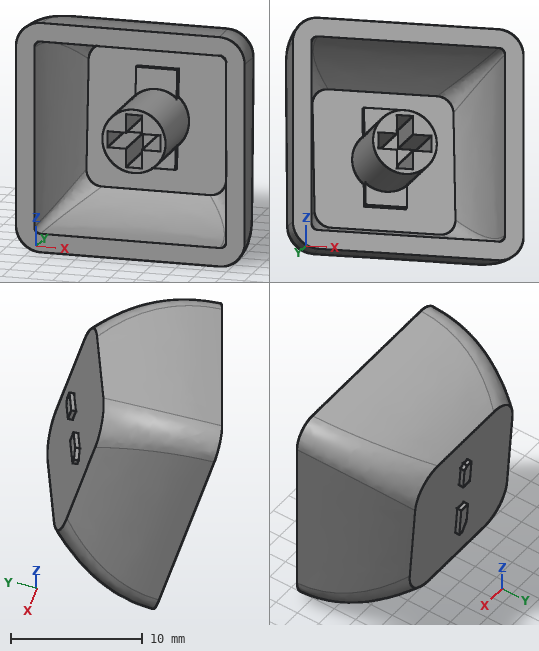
import cadquery as cq
import math

base_width = 18.1
base_corner = 2.0
top_width = 12.65
top_corner = 2.7
top_height = 8.85
top_tilt = 4.0

rim_width = 1.47
roof_thickness = 1.5
cavity_corner = 0.5
ceiling_width = 11.05
ceiling_corner = 1.25

stem_diameter = 5.0
stem_recess = 1.0
cross_length = 4.17
cross_arm = 1.26
cross_depth = 4.6

plate_width = 3.25
plate_length = 7.75
plate_up = 0.2
plate_thickness = 0.5
mark_projection = 0.37
mark_left = -0.47
mark_right = 0.40
upper_mark_top = 3.80
upper_mark_bottom = 1.68
flag_drop = 0.3
flag_width = 0.33
lower_mark_top = -0.90
lower_mark_bottom = -3.56
lower_mark_bend = -2.70
lower_mark_taper = 0.5

middle_share = 1 / 4

roof_height = roof_thickness / math.cos(math.radians(top_tilt))
ceiling_height = top_height - roof_height


def tilted_plane(height, tilt):
    """Plane crossing the cap's axis at a height; local x is X, local y runs up, the normal faces -Y."""
    angle = math.radians(tilt)
    return cq.Plane(
        origin=(0, height, 0),
        xDir=(1, 0, 0),
        normal=(0, -math.cos(angle), math.sin(angle)),
    )


def rounded_square(plane, width, corner):
    """Outline of a square with rounded corners on the plane."""
    square = cq.Sketch().rect(width, width).vertices().fillet(corner).reset()
    return square.val().Faces()[0].outerWire().moved(cq.Location(plane))


def curved_frustum(height, start_width, start_corner, end_width, end_corner):
    """Solid from a flat square at y = 0 to a tilted one, with walls that curve inwards."""
    outlines = []
    for share in (0, middle_share, 1):
        width = start_width + (end_width - start_width) * share**2
        corner = start_corner + (end_corner - start_corner) * share**2
        plane = tilted_plane(height * share, top_tilt * share)
        outlines.append(rounded_square(plane, width, corner))
    return cq.Workplane(cq.Solid.makeLoft(outlines))


def mark(points):
    """Prism from the ceiling through the roof, standing out of the top."""
    return (
        cq.Workplane(tilted_plane(ceiling_height, top_tilt))
        .polyline(points)
        .close()
        .extrude(-(roof_thickness + mark_projection))
    )


def build_insert():
    """Carrier plate hanging from the ceiling, with the two marks on it."""
    plate = (
        cq.Workplane(tilted_plane(ceiling_height, top_tilt))
        .center(0, plate_up)
        .rect(plate_width, plate_length)
        .extrude(plate_thickness)
    )
    flag_edge = mark_right - flag_width
    flag_top = upper_mark_top - flag_drop
    upper_mark = mark(
        [
            (mark_left, upper_mark_bottom),
            (mark_right, upper_mark_bottom),
            (mark_right, flag_top),
            (flag_edge, upper_mark_top),
            (mark_left, upper_mark_top),
        ]
    )
    lower_mark = mark(
        [
            (mark_left + lower_mark_taper, lower_mark_bottom),
            (mark_right, lower_mark_bottom),
            (mark_right, lower_mark_top),
            (mark_left, lower_mark_top),
            (mark_left, lower_mark_bend),
        ]
    )
    return plate.union(upper_mark).union(lower_mark)


def build_stem(inside):
    """Round stem from inside the rim up to the ceiling, with the cross-shaped socket in its end."""
    stem_end = cq.Workplane(tilted_plane(stem_recess, 0))
    stem = stem_end.circle(stem_diameter / 2).extrude(-top_height).intersect(inside)
    cross = cq.Sketch().rect(cross_length, cross_arm).rect(cross_arm, cross_length)
    socket = stem_end.placeSketch(cross).extrude(-cross_depth)
    return stem.cut(socket)


def build_cap(insert):
    """Hollow cap with its stem, cut out where the insert sits."""
    outside = curved_frustum(top_height, base_width, base_corner, top_width, top_corner)
    cavity_width = base_width - 2 * rim_width
    cavity = curved_frustum(ceiling_height, cavity_width, cavity_corner, ceiling_width, ceiling_corner)
    return outside.cut(cavity).union(build_stem(cavity)).cut(insert)


insert = build_insert()
cap = build_cap(insert)

result = cq.Compound.makeCompound([cap.solids().val(), insert.solids().val()])